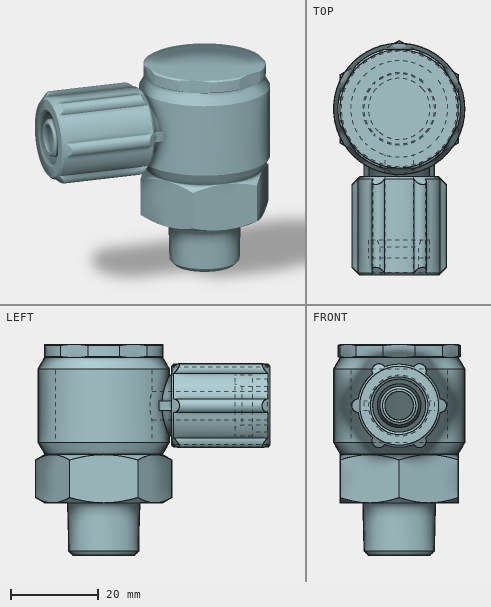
import cadquery as cq
import math


THREAD_TOP = 12.0
HEX_TOP = 23.0
BODY_BOTTOM = 23.2
BODY_TOP = 45.2
TOTAL_HEIGHT = 48.2
OUTLET_HEIGHT = (BODY_BOTTOM + BODY_TOP) / 2

THREAD_TOP_RADIUS = 8.3
THREAD_END_RADIUS = 8.05
THREAD_CHAMFER = 1.0

HEX_FLAT = 27.0
HEX_INRADIUS = HEX_FLAT / 2
HALF_SIDE_ANGLE = 30
HEX_CORNER_RADIUS = HEX_INRADIUS / math.cos(math.radians(HALF_SIDE_ANGLE))
CAP_RADIUS = 14.0
CHAMFER_ANGLE = 30
CHAMFER_SLOPE = math.tan(math.radians(CHAMFER_ANGLE))
COLLAR_RADIUS = 13.2

BODY_RADIUS = 15
BODY_CONE_HEIGHT = 2.6
BODY_END_RADIUS = BODY_RADIUS - BODY_CONE_HEIGHT * CHAMFER_SLOPE
CAVITY_RADIUS = 11.05

NECK_RADIUS = 6.95
WEB_WIDTH = 16.1
WEB_HEIGHT = 2.15

OVERALL_DEPTH = 53.6
NUT_END = OVERALL_DEPTH - HEX_CORNER_RADIUS
NUT_LENGTH = 22.5
NUT_START = NUT_END - NUT_LENGTH
NUT_RADIUS = 9.5
NUT_FACE_RADIUS = 9.0
RIB_COUNT = 6
RIB_RADIUS = 1.55
RIB_TIP_RADIUS = 10.8
RIB_CLEARANCE = 0.55
NUT_BORE_RADIUS = 6.05
NUT_BORE_DEPTH = 3.95
NUT_BORE_CHAMFER = 0.55

NOZZLE_BASE_DEPTH = 8.05
NOZZLE_BASE_RADIUS = 5.0
NOZZLE_BASE_CONE_LENGTH = 1.6
NOZZLE_TIP_RADIUS = 4.4
NOZZLE_CHAMFER = 0.6
NOZZLE_BORE_RADIUS = 3.25
NECK_END = NUT_END - NOZZLE_BASE_DEPTH


def turned(profile):
    """Solid of revolution about Z from (radius, height) points."""
    return cq.Workplane("XZ").polyline(profile).close().revolve(360, (0, 0, 0), (0, 1, 0))


def along_outlet(solid):
    """Move a solid built along +Z onto the outlet axis, so that its +Z becomes -Y."""
    return solid.rotate((0, 0, 0), (1, 0, 0), 90).translate((0, 0, OUTLET_HEIGHT))


def chamfered_hex(bottom, top, outer_radius, corner_angle):
    """Hexagon clipped to outer_radius, with 30 degree chamfers touching its flats."""
    chamfer = (outer_radius - HEX_INRADIUS) * CHAMFER_SLOPE
    prism = (
        cq.Workplane("XY")
        .workplane(offset=bottom)
        .polygon(6, 2 * HEX_CORNER_RADIUS)
        .extrude(top - bottom)
        .rotate((0, 0, 0), (0, 0, 1), corner_angle)
    )
    envelope = turned([
        (0, bottom),
        (HEX_INRADIUS, bottom),
        (outer_radius, bottom + chamfer),
        (outer_radius, top - chamfer),
        (HEX_INRADIUS, top),
        (0, top),
    ])
    return prism.intersect(envelope)


def thread_stub():
    return turned([
        (0, 0),
        (THREAD_END_RADIUS - THREAD_CHAMFER, 0),
        (THREAD_END_RADIUS, THREAD_CHAMFER),
        (THREAD_TOP_RADIUS, THREAD_TOP),
        (0, THREAD_TOP),
    ])


def body():
    """Round body with conical ends, standing on a short collar above the hexagon."""
    return turned([
        (0, HEX_TOP),
        (COLLAR_RADIUS, HEX_TOP),
        (COLLAR_RADIUS, BODY_BOTTOM),
        (BODY_END_RADIUS, BODY_BOTTOM),
        (BODY_RADIUS, BODY_BOTTOM + BODY_CONE_HEIGHT),
        (BODY_RADIUS, BODY_TOP - BODY_CONE_HEIGHT),
        (BODY_END_RADIUS, BODY_TOP),
        (0, BODY_TOP),
    ])


def neck():
    """Round neck reaching into the nut, with a flat web on each side outside it."""
    tube = cq.Workplane("XY").circle(NECK_RADIUS).extrude(NECK_END)
    webs = cq.Workplane("XY").rect(WEB_WIDTH, WEB_HEIGHT).extrude(NUT_START)
    return along_outlet(tube.union(webs))


def hose_nut():
    """Ribbed nut with both ends cut to 45 degree cones, bored for the hose and wider for the neck."""
    blank = cq.Workplane("XY").workplane(offset=NUT_START).circle(NUT_RADIUS).extrude(NUT_LENGTH)
    ribs = (
        cq.Workplane("XY")
        .workplane(offset=NUT_START)
        .polarArray(RIB_TIP_RADIUS - RIB_RADIUS, 0, 360, RIB_COUNT)
        .circle(RIB_RADIUS)
        .extrude(NUT_LENGTH)
    )
    envelope_radius = RIB_TIP_RADIUS + RIB_CLEARANCE
    cone_height = envelope_radius - NUT_FACE_RADIUS
    envelope = turned([
        (0, NUT_START),
        (NUT_FACE_RADIUS, NUT_START),
        (envelope_radius, NUT_START + cone_height),
        (envelope_radius, NUT_END - cone_height),
        (NUT_FACE_RADIUS, NUT_END),
        (0, NUT_END),
    ])
    bore_inner_end = NUT_END - NUT_BORE_DEPTH
    bore = turned([
        (0, NUT_START),
        (NECK_RADIUS, NUT_START),
        (NECK_RADIUS, bore_inner_end),
        (NUT_BORE_RADIUS, bore_inner_end),
        (NUT_BORE_RADIUS, NUT_END - NUT_BORE_CHAMFER),
        (NUT_BORE_RADIUS + NUT_BORE_CHAMFER, NUT_END),
        (0, NUT_END),
    ])
    return along_outlet(blank.union(ribs).intersect(envelope).cut(bore))


def nozzle():
    """Hose nozzle, flaring at its base and flush with the open face of the nut."""
    return along_outlet(turned([
        (0, NECK_END),
        (NOZZLE_BASE_RADIUS, NECK_END),
        (NOZZLE_TIP_RADIUS, NECK_END + NOZZLE_BASE_CONE_LENGTH),
        (NOZZLE_TIP_RADIUS, NUT_END - NOZZLE_CHAMFER),
        (NOZZLE_TIP_RADIUS - NOZZLE_CHAMFER, NUT_END),
        (0, NUT_END),
    ]))


def flow_passage():
    """Round cavity inside the body, joined to the bore of the nozzle."""
    cavity = (
        cq.Workplane("XY")
        .workplane(offset=BODY_BOTTOM + BODY_CONE_HEIGHT)
        .circle(CAVITY_RADIUS)
        .extrude(BODY_TOP - BODY_BOTTOM - 2 * BODY_CONE_HEIGHT)
    )
    bore = along_outlet(cq.Workplane("XY").circle(NOZZLE_BORE_RADIUS).extrude(NUT_END))
    return cavity.union(bore)


base_hex = chamfered_hex(THREAD_TOP, HEX_TOP, HEX_CORNER_RADIUS, corner_angle=HALF_SIDE_ANGLE)
cap_hex = chamfered_hex(BODY_TOP, TOTAL_HEIGHT, CAP_RADIUS, corner_angle=0)

result = (
    thread_stub()
    .union(base_hex)
    .union(body())
    .union(cap_hex)
    .union(neck())
    .union(hose_nut())
    .union(nozzle())
    .cut(flow_passage())
)